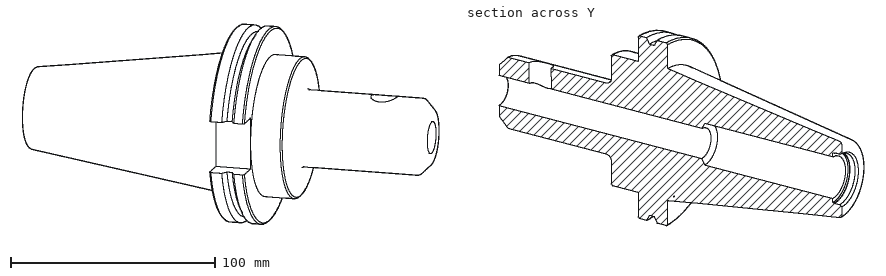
import cadquery as cq
import math

total_length = 203.2
taper_ratio = 7 / 24
edge_chamfer = 0.8

gauge_x = 102.6
gauge_radius = 70.3 / 2
small_end_fillet = 2.0

flange_start = 103.2
flange_end = 121.0
flange_radius = 97.3 / 2
groove_floor_start = 111.4
groove_floor_end = 114.0
groove_depth = 3.0
groove_wall_angle = 30.0

slot_width = 25.8
slot_floor_front = 35.2
slot_floor_back = 37.5

collar_end = 136.8
collar_radius = 70.0 / 2
shank_radius = 38.0 / 2
shank_base_fillet = 3.0
shank_shoulder_fillet = 1.6
nose_length = 5.3
nose_tip_fillet = 1.2

cross_hole_diameter = 12.8
cross_hole_x = 178.8

mouth_radius = 28.2 / 2
counterbore_radius = 26.6 / 2
mouth_depth = 1.5
counterbore_depth = 4.5
seat_radius = 26.2 / 2
seat_depth = 5.5
thread_radius = 22.0 / 2
thread_depth = 81.3
through_radius = 15.9 / 2
drill_tip_half_angle = 60.0


def revolve_profile(points):
    """Revolve a closed outline of (x, radius) points about the X axis."""
    return cq.Workplane("XY").polyline(points).close().revolve(360, (0, 0, 0), (1, 0, 0))


def make_taper():
    small_radius = gauge_radius - gauge_x * taper_ratio / 2
    taper = revolve_profile([
        (0, 0),
        (0, small_radius),
        (gauge_x, gauge_radius),
        (flange_start, gauge_radius),
        (flange_start, 0),
    ])
    return taper.faces("<X").edges().fillet(small_end_fillet)


def make_flange():
    wall_run = groove_depth * math.tan(math.radians(groove_wall_angle))
    floor_radius = flange_radius - groove_depth
    return revolve_profile([
        (flange_start, 0),
        (flange_start, flange_radius - edge_chamfer),
        (flange_start + edge_chamfer, flange_radius),
        (groove_floor_start - wall_run, flange_radius),
        (groove_floor_start, floor_radius),
        (groove_floor_end, floor_radius),
        (groove_floor_end + wall_run, flange_radius),
        (flange_end - edge_chamfer, flange_radius),
        (flange_end, flange_radius - edge_chamfer),
        (flange_end, 0),
    ])


def cut_drive_slots(flange):
    for side, floor in ((-1, slot_floor_front), (1, slot_floor_back)):
        slot = (
            cq.Workplane("XY")
            .box(flange_end - flange_start, flange_radius, slot_width, centered=(False, True, True))
            .translate((flange_start, side * (floor + flange_radius / 2), 0))
        )
        flange = flange.cut(slot)
    return flange


def make_collar():
    collar = cq.Workplane("YZ", origin=(flange_start, 0, 0)).circle(collar_radius)
    collar = collar.extrude(collar_end - flange_start)
    return collar.faces(">X").edges().chamfer(edge_chamfer)


def make_shank():
    """Shank with a flared root against the collar and a rounded 45 degree nose."""
    nose_start = total_length - nose_length
    root_radius = shank_radius + shank_base_fillet
    half_diagonal = shank_base_fillet * (1 - math.sqrt(0.5))
    shank = (
        cq.Workplane("XY")
        .moveTo(flange_start, 0)
        .lineTo(flange_start, shank_radius)
        .lineTo(collar_end, shank_radius)
        .lineTo(collar_end, root_radius)
        .threePointArc(
            (collar_end + half_diagonal, shank_radius + half_diagonal),
            (collar_end + shank_base_fillet, shank_radius),
        )
        .lineTo(nose_start, shank_radius)
        .lineTo(total_length, shank_radius - nose_length)
        .lineTo(total_length, 0)
        .close()
        .revolve(360, (0, 0, 0), (1, 0, 0))
    )
    shank_circles = shank.edges(cq.selectors.RadiusNthSelector(-2))
    shank = shank_circles.edges(">X").fillet(shank_shoulder_fillet)
    return shank.faces(">X").edges().fillet(nose_tip_fillet)


def make_bore():
    tip_length = (thread_radius - through_radius) / math.tan(math.radians(drill_tip_half_angle))
    return revolve_profile([
        (0, 0),
        (0, mouth_radius),
        (mouth_depth, counterbore_radius),
        (counterbore_depth, counterbore_radius),
        (counterbore_depth, seat_radius),
        (seat_depth, seat_radius),
        (seat_depth, thread_radius),
        (thread_depth, thread_radius),
        (thread_depth + tip_length, through_radius),
        (total_length, through_radius),
        (total_length, 0),
    ])


def make_cross_hole():
    return (
        cq.Workplane("XY", origin=(cross_hole_x, 0, 0))
        .circle(cross_hole_diameter / 2)
        .extrude(flange_radius)
    )


flange = cut_drive_slots(make_flange())
body = make_taper().union(flange).union(make_collar()).union(make_shank())
result = body.cut(make_bore()).cut(make_cross_hole())